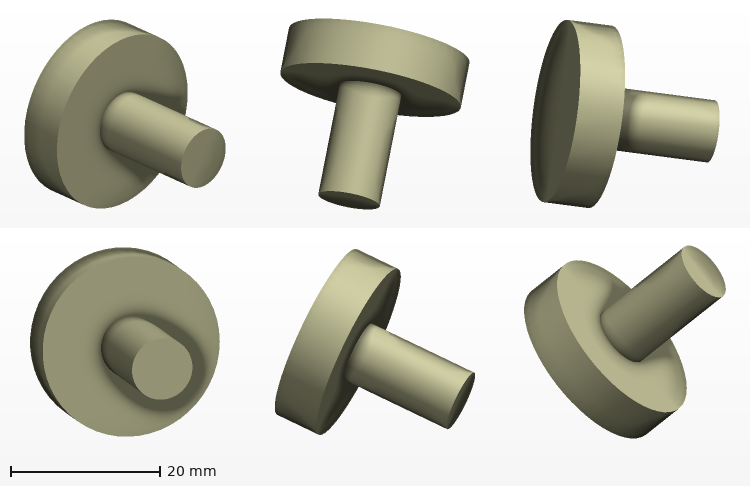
import cadquery as cq

head_diameter = 24.67
head_thickness = 6.25
shank_diameter = 8.41
total_length = 21.7
shank_length = total_length - head_thickness

head = cq.Workplane("YZ").circle(head_diameter / 2).extrude(head_thickness)

result = head.faces(">X").workplane().circle(shank_diameter / 2).extrude(shank_length)